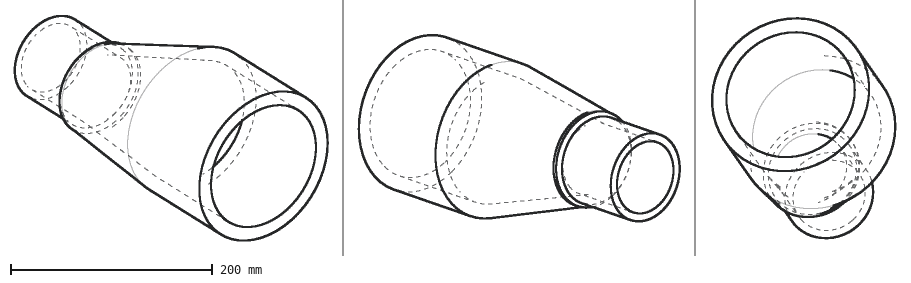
import cadquery as cq

LENGTH = 309.0
LARGE_OUTER = 160.0
LARGE_BORE = 130.7
SMALL_OUTER = 90.0
SMALL_BORE = 73.5
COLLAR_OUTER = 98.3

SPIGOT_LENGTH = 74.8
COLLAR_CHAMFER = (COLLAR_OUTER - SMALL_OUTER) / 2
COLLAR_BAND = 4.0
LARGE_LENGTH = 117.7

chamfer_end = SPIGOT_LENGTH + COLLAR_CHAMFER
taper_start = chamfer_end + COLLAR_BAND
taper_end = LENGTH - LARGE_LENGTH

SMALL_AXIS_Y = -(LARGE_OUTER - COLLAR_OUTER) / 2


def cylinder(x_start, x_end, diameter, axis_y):
    """Cylinder along X between two stations."""
    base = cq.Workplane("YZ", origin=(x_start, axis_y, 0))
    return base.circle(diameter / 2).extrude(x_end - x_start)


def offset_cone(start_diameter, end_diameter):
    """Oblique cone across the taper, from the small axis to the large axis."""
    return (
        cq.Workplane("YZ", origin=(taper_start, SMALL_AXIS_Y, 0))
        .circle(start_diameter / 2)
        .workplane(offset=taper_end - taper_start)
        .center(-SMALL_AXIS_Y, 0)
        .circle(end_diameter / 2)
        .loft(ruled=True)
    )


spigot = cylinder(0, taper_start, SMALL_OUTER, SMALL_AXIS_Y)
collar = (
    cylinder(SPIGOT_LENGTH, taper_start, COLLAR_OUTER, SMALL_AXIS_Y)
    .faces("<X")
    .chamfer(COLLAR_CHAMFER)
)
large_pipe = cylinder(taper_end, LENGTH, LARGE_OUTER, 0)
body = spigot.union(collar).union(offset_cone(COLLAR_OUTER, LARGE_OUTER)).union(large_pipe)

passage = (
    cylinder(0, taper_start, SMALL_BORE, SMALL_AXIS_Y)
    .union(offset_cone(SMALL_BORE, LARGE_BORE))
    .union(cylinder(taper_end, LENGTH, LARGE_BORE, 0))
)

result = body.cut(passage)